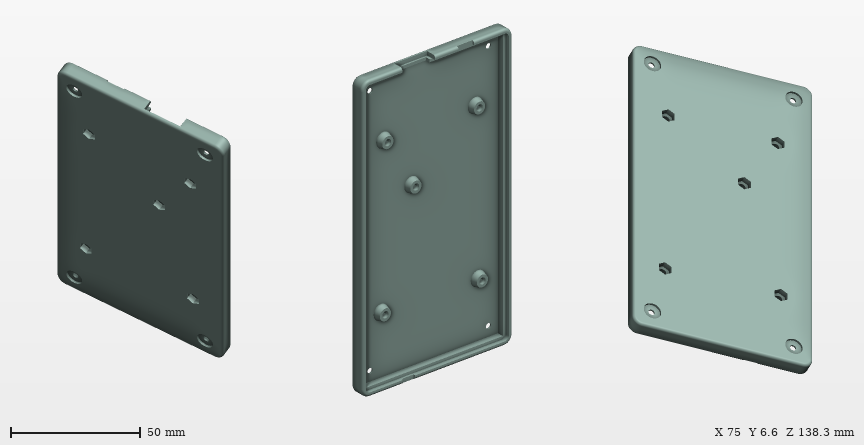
import cadquery as cq
import math

width = 75.0
depth = 6.6
height = 138.3
corner_radius = 4.0
edge_radius = 1.2

floor_thickness = 1.7
rim_thickness = 2.0
ledge_width = 1.4
ledge_top = 4.7

screw_x = 29.5
screw_z = 61.1
screw_diameter = 2.5
screw_head_diameter = 7.2
screw_head_depth = 1.0

standoff_centers = [(-22.8, 37.5), (22.8, 37.5), (8.9, 13.4), (-24.2, -38.6), (24.1, -37.4)]
standoff_base_diameter = 7.2
standoff_top_diameter = 5.5
standoff_top = 4.4
bolt_diameter = 3.0
nut_flats = 5.3
nut_depth = 2.6

port_left = 1.1
port_right = 17.5
port_sill = 2.5
port_inner_left = 2.4
port_inner_right = 16.6

rim_notch_left = -18.3
rim_notch_right = -10.5
rim_notch_depth = 1.0

cable_left = 11.0
cable_floor_right = 16.3
cable_right = port_right
cable_depth = 1.0


def box(x_min, x_max, y_min, y_max, z_min, z_max):
    size = (x_max - x_min, y_max - y_min, z_max - z_min)
    return cq.Workplane("XY").box(*size, centered=False).translate((x_min, y_min, z_min))


def front_plane(y):
    """XZ sketch plane at the given Y; extruding a negative length goes toward +Y."""
    return cq.Workplane("XZ", origin=(0, y, 0))


def cylinder(centers, diameter, y_min, y_max):
    return front_plane(y_min).pushPoints(centers).circle(diameter / 2).extrude(y_min - y_max)


def make_shell():
    body = front_plane(0).rect(width, height).extrude(-depth)
    body = body.edges("|Y").fillet(corner_radius)
    return body.faces("<Y or >Y").edges().fillet(edge_radius)


def make_cavity():
    """Wide recess inside the rim, above a narrower well bounded by the ledge."""
    recess_width = width - 2 * rim_thickness
    recess_height = height - 2 * rim_thickness
    recess = front_plane(ledge_top).rect(recess_width, recess_height).extrude(ledge_top - depth)
    recess = recess.edges("|Y").fillet(corner_radius - rim_thickness)
    inset = rim_thickness + ledge_width
    well = front_plane(floor_thickness).rect(width - 2 * inset, height - 2 * inset)
    well = well.extrude(floor_thickness - ledge_top)
    return recess.union(well)


def make_standoffs():
    """Posts on the floor that taper toward the open back."""
    length = standoff_top - floor_thickness
    taper = math.degrees(math.atan2((standoff_base_diameter - standoff_top_diameter) / 2, length))
    sketch = front_plane(floor_thickness).pushPoints(standoff_centers)
    return sketch.circle(standoff_base_diameter / 2).extrude(-length, taper=taper)


def make_port():
    wall_inner = height / 2 - rim_thickness
    outer = box(port_left, port_right, floor_thickness, depth, wall_inner, height / 2)
    ledge_inner = wall_inner - ledge_width
    inner = box(port_inner_left, port_inner_right, port_sill, depth, ledge_inner, wall_inner)
    return outer.union(inner)


def make_rim_notch():
    z_min = height / 2 - rim_thickness
    return box(rim_notch_left, rim_notch_right, depth - rim_notch_depth, depth, z_min, height / 2)


def make_cable_notch():
    floor_y = depth - cable_depth
    profile = [(cable_left, depth), (cable_left, floor_y), (cable_floor_right, floor_y), (cable_right, depth)]
    return cq.Workplane("XY", origin=(0, 0, -height / 2)).polyline(profile).close().extrude(rim_thickness)


def make_screw_holes():
    centers = [(x, z) for x in (-screw_x, screw_x) for z in (-screw_z, screw_z)]
    holes = cylinder(centers, screw_diameter, 0, floor_thickness)
    return holes.union(cylinder(centers, screw_head_diameter, 0, screw_head_depth))


def make_nut_holes():
    """Bolt holes through the standoffs, with nut pockets whose corners point along Z."""
    bolts = cylinder(standoff_centers, bolt_diameter, 0, standoff_top)
    nut = front_plane(0).polygon(6, nut_flats, circumscribed=True).extrude(-nut_depth)
    for x, z in standoff_centers:
        bolts = bolts.union(nut.translate((x, 0, z)))
    return bolts


result = make_shell().cut(make_cavity())
result = result.union(make_standoffs())
for opening in (make_port(), make_rim_notch(), make_cable_notch(), make_screw_holes(), make_nut_holes()):
    result = result.cut(opening)